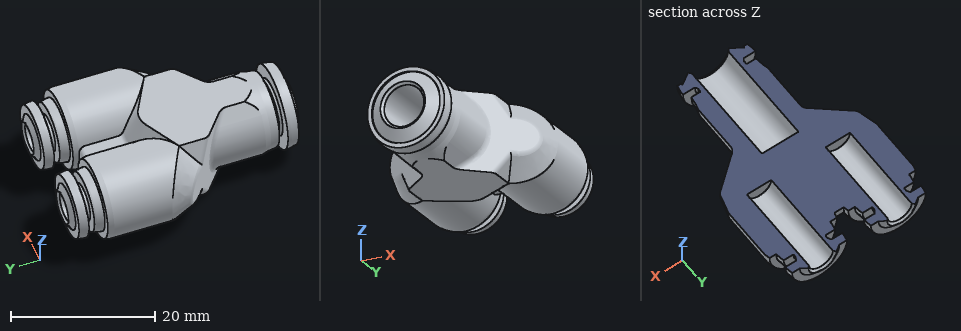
import cadquery as cq
import math


length = 36.4
barrel_radius = 6.0
branch_offset = 6.75
reach = 20.0
tolerance = 0.001

stem_bore_radius = 3.1
stem_bore_depth = 17.0
stem_mouth_radius = 3.5
stem_ring_front_y = 0.92
stem_groove_radius = 5.33
stem_groove_y = 1.2
stem_lip_radius = 6.03
stem_ring_radius = 6.25
stem_ring_full_y = 2.06
stem_ring_back_y = 2.64
stem_neck_flare_radius = 4.2
stem_neck_radius = 3.97
stem_neck_y = 3.05
stem_end_y = 3.6
stem_end_radius = 5.6
stem_end_fillet = 0.25
stem_nose_y = 4.95
stem_nose_radius = 5.76
stem_facet_y = 7.67
stem_top = 16.0
overlap = 1.4

branch_bore_radius = 2.05
branch_bore_depth = 15.0
branch_mouth_radius = 2.4
branch_funnel_radius = 3.4
branch_lip_radius = 4.72
branch_ring_front = 0.68
branch_ring_radius = 4.88
branch_ring_full = 1.6
branch_ring_back_radius = 4.92
branch_ring_back = 2.1
branch_neck_flare_radius = 3.05
branch_neck_radius = 2.76
branch_neck = 2.6
cap_end_radius = 4.4
cap_end = 3.1
cap_rim_radius = 4.52
cap_rim = 3.45
cap_root_radius = 4.68
barrel_end_radius = 5.79
barrel_end = 4.55
barrel_full = 5.45
branch_root_y = 10.0
mouth_depth = 0.4

draft = 30.0
corner_y = 19.05
crotch_slope = 29.1
crotch_radius = 3.0
plate_bottom = 9.0

shoulder_slope = 40.0
shoulder_apex_y = 9.08
lobe_offset = 9.08
lobe_radius = 2.8
shoulder_edge_radius = 1.0
stem_root_radius = 1.0
bevel_slope = 28.7

web_half_thickness = 2.0
web_end_y = 31.0
web_bottom_y = 20.0
web_fillet = 1.0


def shoulder_y(x):
    return shoulder_apex_y + abs(x) * math.tan(math.radians(shoulder_slope))


def turned(points):
    """Revolve (radius, y) points, closed through the axis, about the Y axis."""
    outline = [(0, points[0][1])] + points + [(0, points[-1][1])]
    return cq.Workplane("XY").polyline(outline).close().revolve(360, (0, 0, 0), (0, 1, 0))


def tilted_ellipse(x, y, slope, radius):
    """Ellipse that looks like a circle of the given radius along Y, in a plane tilted about Z."""
    angle = math.radians(slope)
    return cq.Wire.makeEllipse(
        radius / math.cos(angle),
        radius,
        cq.Vector(x, y, 0),
        cq.Vector(math.sin(angle), -math.cos(angle), 0),
        cq.Vector(math.cos(angle), math.sin(angle), 0),
    )


def branch():
    """Right-hand branch: barrel, cap, release ring and the tapered lobe below the barrel."""
    barrel = turned([
        (barrel_radius, branch_root_y),
        (barrel_radius, length - barrel_full),
        (barrel_end_radius, length - barrel_end),
        (cap_root_radius, length - barrel_end),
        (cap_rim_radius, length - cap_rim),
        (cap_end_radius, length - cap_end),
        (branch_neck_radius, length - cap_end),
        (branch_neck_radius, length - branch_neck),
        (branch_neck_flare_radius, length - branch_ring_back),
        (branch_ring_back_radius, length - branch_ring_back),
        (branch_ring_radius, length - branch_ring_full),
        (branch_lip_radius, length - branch_ring_front),
        (branch_funnel_radius, length - branch_ring_front),
        (branch_mouth_radius, length),
    ]).translate((branch_offset, 0, 0))
    drop = reach * math.tan(math.radians(bevel_slope))
    below_bevel = (
        cq.Workplane("XY")
        .polyline([
            (branch_offset - reach, corner_y - drop),
            (branch_offset + reach, corner_y + drop),
            (branch_offset + reach, corner_y - 2 * reach),
            (branch_offset - reach, corner_y - 2 * reach),
        ])
        .close()
        .extrude(reach, both=True)
    )
    lobe = cq.Solid.makeLoft([
        tilted_ellipse(branch_offset, corner_y, bevel_slope, barrel_radius),
        tilted_ellipse(lobe_offset, shoulder_y(lobe_offset), shoulder_slope, lobe_radius),
    ], True)
    return barrel.cut(below_bevel).union(cq.Workplane(lobe))


def plate():
    """Flat-faced plate joining the branches, its sides spreading towards the mid-plane."""
    peak_y = corner_y + branch_offset * math.tan(math.radians(crotch_slope))
    angle = math.radians(crotch_slope)
    tangent_x = crotch_radius * math.sin(angle)
    tangent_y = peak_y - tangent_x * math.tan(angle)
    round_top_y = tangent_y + crotch_radius * (1 - math.cos(angle))
    half = (
        cq.Workplane("XY", origin=(0, 0, barrel_radius))
        .moveTo(-branch_offset, plate_bottom)
        .lineTo(branch_offset, plate_bottom)
        .lineTo(branch_offset, corner_y)
        .lineTo(tangent_x, tangent_y)
        .threePointArc((0, round_top_y), (-tangent_x, tangent_y))
        .lineTo(-branch_offset, corner_y)
        .close()
        .extrude(-barrel_radius, taper=-draft)
    )
    web = (
        cq.Workplane("XY")
        .box(2 * branch_offset, web_end_y - web_bottom_y, 2 * web_half_thickness)
        .translate((0, (web_end_y + web_bottom_y) / 2, 0))
        .edges("|X and >Y")
        .fillet(web_fillet)
    )
    return half.union(half.mirror("XY")).union(web)


def below_shoulders():
    """Everything on the stem side of the two slanted shoulder planes."""
    return (
        cq.Workplane("XY")
        .polyline([
            (0, shoulder_y(0)),
            (reach, shoulder_y(reach)),
            (reach, -reach),
            (-reach, -reach),
            (-reach, shoulder_y(reach)),
        ])
        .close()
        .extrude(reach, both=True)
    )


def shoulder_faces(solid):
    """The slanted faces that look down and outwards."""
    tilt = math.radians(shoulder_slope)
    found = []
    for face in solid.faces("%PLANE").vals():
        normal = face.normalAt()
        if abs(normal.y + math.cos(tilt)) < tolerance and abs(abs(normal.x) - math.sin(tilt)) < tolerance:
            found.append(face)
    return found


def web_root(solid):
    """Edges where the web runs into the drafted sides of the plate."""
    edges = []
    for edge in solid.edges("%CIRCLE").vals():
        middle = edge.positionAt(0.5)
        on_web = abs(abs(middle.z) - web_half_thickness) < tolerance
        if on_web and abs(middle.x) < tolerance:
            edges.append(edge)
    return edges


def shoulder_edges(solid, farthest):
    """Shoulder face edges within the given distance of X = 0, leaving out those on the flats."""
    edges = []
    for face in shoulder_faces(solid):
        for edge in face.Edges():
            middle = edge.positionAt(0.5)
            on_flat = abs(abs(middle.z) - barrel_radius) < tolerance
            in_reach = tolerance < abs(middle.x) < farthest + tolerance
            if in_reach and not on_flat:
                edges.append(edge)
    return edges


def stem():
    """Stem barrel: round at the sides, eight-sided above and below, turned down at its end."""
    half_facet = math.radians(360 / 8 / 2)
    facet_touch = barrel_radius * math.cos(2 * half_facet)
    flat_half = barrel_radius * math.tan(half_facet)
    corner_radius = barrel_radius / math.cos(half_facet)
    section = (
        cq.Workplane("XZ")
        .moveTo(facet_touch, facet_touch)
        .lineTo(flat_half, barrel_radius)
        .lineTo(-flat_half, barrel_radius)
        .lineTo(-facet_touch, facet_touch)
        .threePointArc((-barrel_radius, 0), (-facet_touch, -facet_touch))
        .lineTo(-flat_half, -barrel_radius)
        .lineTo(flat_half, -barrel_radius)
        .lineTo(facet_touch, -facet_touch)
        .threePointArc((barrel_radius, 0), (facet_touch, facet_touch))
        .close()
        .extrude(-stem_top)
    )
    limit = turned([
        (stem_end_radius, stem_end_y),
        (stem_nose_radius, stem_nose_y),
        (corner_radius, stem_facet_y),
        (corner_radius, stem_top),
    ]).edges("<Y").fillet(stem_end_fillet)
    return section.intersect(limit)


def stem_ring():
    """Release ring of the stem port, with its neck running into the barrel."""
    return turned([
        (stem_mouth_radius, 0),
        (stem_groove_radius, stem_groove_y),
        (stem_groove_radius, stem_ring_front_y),
        (stem_lip_radius, stem_ring_front_y),
        (stem_ring_radius, stem_ring_full_y),
        (stem_ring_radius, stem_ring_back_y),
        (stem_neck_flare_radius, stem_ring_back_y),
        (stem_neck_radius, stem_neck_y),
        (stem_neck_radius, stem_end_y + overlap),
    ])


def port_bore(bore_radius, mouth_radius, depth):
    """Blind tube bore entered from y = 0 towards +Y, with a lead-in cone."""
    return turned([
        (mouth_radius, 0),
        (bore_radius, mouth_depth),
        (bore_radius, depth),
    ])


right_branch = branch()
body = plate().union(right_branch).union(right_branch.mirror("YZ")).cut(below_shoulders())
body = body.newObject(web_root(body)).fillet(web_fillet)
body = body.newObject(shoulder_edges(body, reach)).fillet(shoulder_edge_radius)
body = body.union(stem())
body = body.newObject(shoulder_edges(body, barrel_radius)).fillet(stem_root_radius)

result = body.union(stem_ring())
result = result.cut(port_bore(stem_bore_radius, stem_mouth_radius, stem_bore_depth))
branch_bore = port_bore(branch_bore_radius, branch_mouth_radius, branch_bore_depth).mirror("XZ")
for x in (-branch_offset, branch_offset):
    result = result.cut(branch_bore.translate((x, length, 0)))